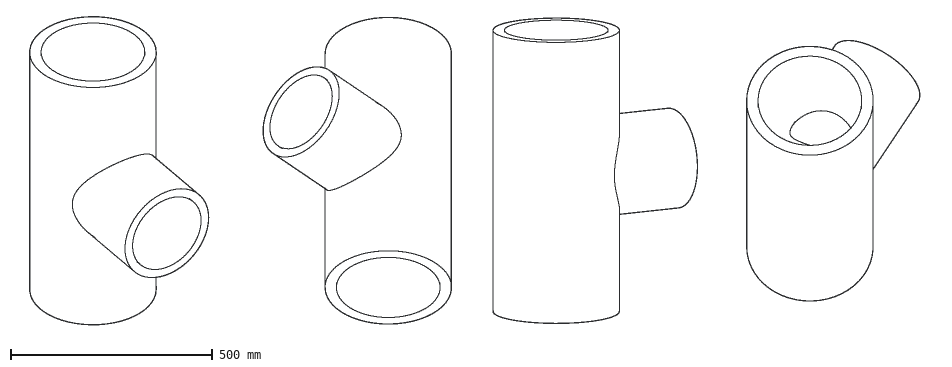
import cadquery as cq

run_length = 712.0
run_diameter = 315.0
run_wall = 28.5
branch_diameter = 250.0
branch_wall = 23.0
branch_reach = 332.5


def run_cylinder(diameter):
    """Vertical cylinder over the full run, centred on the origin."""
    return cq.Workplane("XY").circle(diameter / 2).extrude(run_length / 2, both=True)


def branch_cylinder(diameter):
    """Horizontal cylinder from the run axis to the branch end."""
    return cq.Workplane("YZ").circle(diameter / 2).extrude(branch_reach)


outer = run_cylinder(run_diameter).union(branch_cylinder(branch_diameter))
run_bore = run_cylinder(run_diameter - 2 * run_wall)
branch_bore = branch_cylinder(branch_diameter - 2 * branch_wall)

result = outer.cut(run_bore).cut(branch_bore)